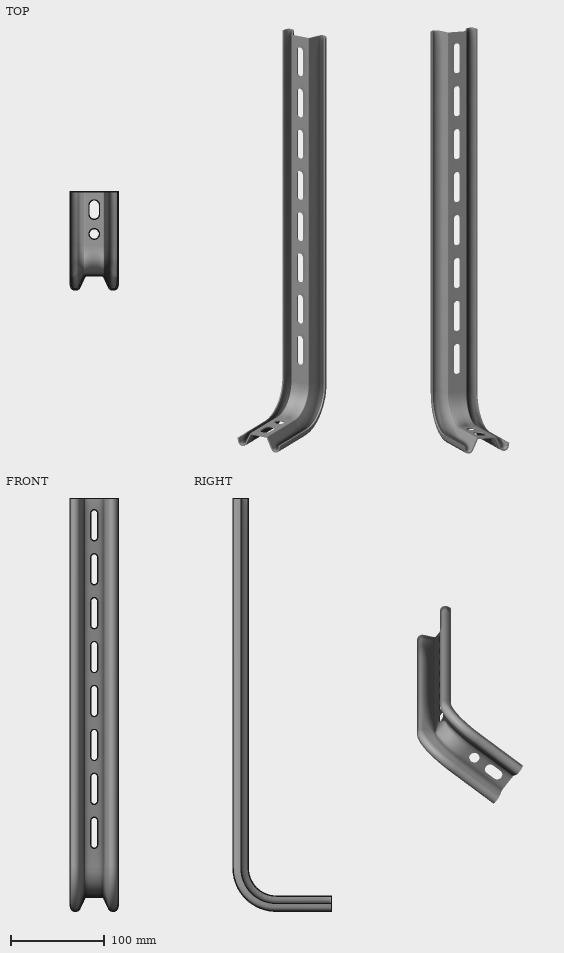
import cadquery as cq
import math

overall_width = 52.4
overall_length = 105.48
overall_height = 441.79

sheet_thickness = 1.5
section_depth = 16.5
web_half_width = 9.7
corner_outer_radius = 1.0
corner_inner_radius = 0.5
lip_height = 8.5
flange_radius = 5.4
lip_lean = 10.0

bend_inner_radius = 30.0
bend_outer_radius = bend_inner_radius + section_depth
bend_angle = 90.0

upright_length = overall_height - bend_outer_radius
arm_length = overall_length - bend_outer_radius

upright_slot_count = 8
upright_slot_pitch = 47.0
upright_slot_length = 33.0
upright_slot_width = 7.0
upright_slot_end_distance = 28.7

arm_hole_diameter = 11.0
arm_hole_end_distance = 45.3
arm_slot_length = 20.5
arm_slot_end_distance = 19.3

slot_direction = 90.0


def flange_centre():
    """Centre (x, y) of the rolled flange arcs of the right half of the section."""
    lean = math.radians(lip_lean)
    lip_run = lip_height - flange_radius * (1 - math.sin(lean))
    x = overall_width / 2 - flange_radius * math.cos(lean) - lip_run * math.tan(lean)
    y = flange_radius - bend_outer_radius
    return x, y


def wall_angle():
    """Angle between the sloped wall and the depth direction.

    The recessed wall face starts at the unrounded web corner and is tangent to the outer flange arc.
    """
    across = flange_centre()[0] - web_half_width
    along = section_depth - flange_radius - sheet_thickness
    return math.atan2(across, along) - math.asin(flange_radius / math.hypot(across, along))


def half_profile_points():
    """Named points of the right half of the section, as (x, y) at the bottom of the upright."""
    slope = wall_angle()
    lean = math.radians(lip_lean)
    inner_arc_radius = flange_radius - sheet_thickness
    web_y = -bend_inner_radius
    centre_x, centre_y = flange_centre()
    lip_y = lip_height - bend_outer_radius

    def corner_arc(corner_x, corner_y, radius):
        """Start, middle and end of the web corner arc, from the web to the wall."""
        turn = math.pi / 2 - slope
        arc_x = corner_x - radius * math.tan(turn / 2)
        arc_y = corner_y - radius
        return [
            (arc_x + radius * math.sin(angle), arc_y + radius * math.cos(angle))
            for angle in (0, turn / 2, turn)
        ]

    def on_wall_side(radius):
        return (centre_x - radius * math.cos(slope), centre_y - radius * math.sin(slope))

    def on_lip_side(radius):
        return (centre_x + radius * math.cos(lean), centre_y - radius * math.sin(lean))

    corner_offset = sheet_thickness * (1 - math.sin(slope)) / math.cos(slope)
    outer_corner = corner_arc(web_half_width + corner_offset, web_y, corner_outer_radius)
    inner_corner = corner_arc(web_half_width, web_y - sheet_thickness, corner_inner_radius)
    lip_end_x = overall_width / 2
    return {
        "web_outer": outer_corner[0],
        "outer_corner_middle": outer_corner[1],
        "wall_inner_start": outer_corner[2],
        "wall_inner_end": on_wall_side(inner_arc_radius),
        "inner_crest": (centre_x, centre_y - inner_arc_radius),
        "lip_inner_start": on_lip_side(inner_arc_radius),
        "lip_inner_end": (lip_end_x - sheet_thickness / math.cos(lean), lip_y),
        "lip_outer_end": (lip_end_x, lip_y),
        "lip_outer_start": on_lip_side(flange_radius),
        "outer_crest": (centre_x, centre_y - flange_radius),
        "wall_outer_end": on_wall_side(flange_radius),
        "wall_outer_start": inner_corner[2],
        "inner_corner_middle": inner_corner[1],
        "web_recess": inner_corner[0],
    }


def section_profile():
    """Closed outline of the hat section with rolled flanges."""
    right = half_profile_points()
    left = {name: (-x, y) for name, (x, y) in right.items()}
    return (
        cq.Workplane("XY")
        .moveTo(*left["web_outer"])
        .lineTo(*right["web_outer"])
        .threePointArc(right["outer_corner_middle"], right["wall_inner_start"])
        .lineTo(*right["wall_inner_end"])
        .threePointArc(right["inner_crest"], right["lip_inner_start"])
        .lineTo(*right["lip_inner_end"])
        .lineTo(*right["lip_outer_end"])
        .lineTo(*right["lip_outer_start"])
        .threePointArc(right["outer_crest"], right["wall_outer_end"])
        .lineTo(*right["wall_outer_start"])
        .threePointArc(right["inner_corner_middle"], right["web_recess"])
        .lineTo(*left["web_recess"])
        .threePointArc(left["inner_corner_middle"], left["wall_outer_start"])
        .lineTo(*left["wall_outer_end"])
        .threePointArc(left["outer_crest"], left["lip_outer_start"])
        .lineTo(*left["lip_outer_end"])
        .lineTo(*left["lip_inner_end"])
        .lineTo(*left["lip_inner_start"])
        .threePointArc(left["inner_crest"], left["wall_inner_end"])
        .lineTo(*left["wall_inner_start"])
        .threePointArc(left["outer_corner_middle"], left["web_outer"])
        .close()
    )


def bent_channel():
    """Upright, quarter bend and arm, all with the same section."""
    x_axis_start = (0, 0, 0)
    x_axis_end = (1, 0, 0)
    upright = section_profile().extrude(upright_length)
    bend = section_profile().revolve(bend_angle, x_axis_start, x_axis_end)
    arm = section_profile().extrude(-arm_length).rotate(x_axis_start, x_axis_end, bend_angle)
    return upright.union(bend).union(arm)


def upright_slot_cutter():
    """Row of slots along the upright, cutting through the web in Y."""
    first_z = upright_length - upright_slot_end_distance
    centres = [(0, first_z - i * upright_slot_pitch) for i in range(upright_slot_count)]
    return (
        cq.Workplane("XZ")
        .pushPoints(centres)
        .slot2D(upright_slot_length, upright_slot_width, slot_direction)
        .extrude(bend_outer_radius)
    )


def arm_hole_cutter():
    """Slot and round hole in the arm, cutting through the web in Z."""
    slot = (
        cq.Workplane("XY")
        .center(0, arm_length - arm_slot_end_distance)
        .slot2D(arm_slot_length, arm_hole_diameter, slot_direction)
        .extrude(-bend_outer_radius)
    )
    hole = (
        cq.Workplane("XY")
        .center(0, arm_length - arm_hole_end_distance)
        .circle(arm_hole_diameter / 2)
        .extrude(-bend_outer_radius)
    )
    return slot.union(hole)


result = bent_channel().cut(upright_slot_cutter()).cut(arm_hole_cutter())